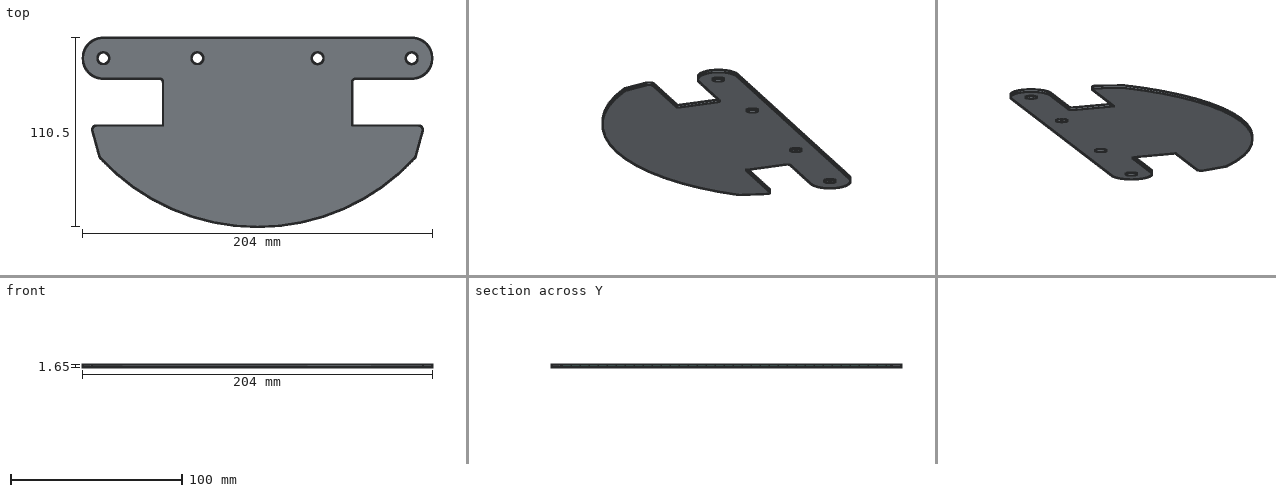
import cadquery as cq

length = 204.0
depth = 110.5
thickness = 1.65

bar_width = 24.0
bar_radius = bar_width / 2
bar_end_center_x = length / 2 - bar_radius

hole_diameter = 6.7
inner_hole_x = 35.0

neck_half_width = 55.3
neck_fillet = 1.8

blade_back_y = bar_radius - 51.2
blade_back_half_width = 97.3
blade_shoulder_y = bar_radius - 69.8
blade_shoulder_half_width = 92.2
blade_front_y = bar_radius - depth
blade_corner_fillet = 2.7
blade_shoulder_fillet = 2.7


def make_bar():
    return cq.Workplane("XY").slot2D(length, bar_width).extrude(thickness)


def make_neck():
    neck_length = -blade_back_y
    return (
        cq.Workplane("XY")
        .center(0, -neck_length / 2)
        .rect(2 * neck_half_width, neck_length)
        .extrude(thickness)
    )


def make_blade():
    return (
        cq.Workplane("XY")
        .moveTo(-blade_back_half_width, blade_back_y)
        .lineTo(-blade_shoulder_half_width, blade_shoulder_y)
        .threePointArc((0, blade_front_y), (blade_shoulder_half_width, blade_shoulder_y))
        .lineTo(blade_back_half_width, blade_back_y)
        .close()
        .extrude(thickness)
    )


def fillet_mirrored_corners(body, x, y, radius):
    """Round the two vertical edges at (-x, y) and (x, y)."""
    for corner_x in (-x, x):
        body = body.edges(cq.NearestToPointSelector((corner_x, y, thickness / 2))).fillet(radius)
    return body


blade = make_blade()
blade = fillet_mirrored_corners(blade, blade_back_half_width, blade_back_y, blade_corner_fillet)
blade = fillet_mirrored_corners(
    blade, blade_shoulder_half_width, blade_shoulder_y, blade_shoulder_fillet
)

plate = make_bar().union(make_neck()).union(blade)
plate = fillet_mirrored_corners(plate, neck_half_width, -bar_radius, neck_fillet)

hole_centers = [
    (side * x, 0)
    for side in (-1, 1)
    for x in (inner_hole_x, bar_end_center_x)
]
holes = (
    cq.Workplane("XY")
    .pushPoints(hole_centers)
    .circle(hole_diameter / 2)
    .extrude(thickness)
)

result = plate.cut(holes)